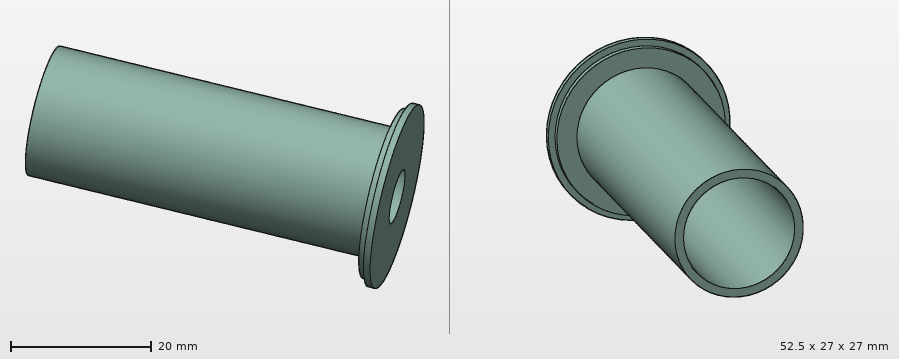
import cadquery as cq

length = 52.5
tube_diameter = 19.05
collar_diameter = 25.0
flange_diameter = 27.0
flange_thickness = 1.0
collar_thickness = 1.0

bore_diameter = 16.5
seat_diameter = 15.0
throat_diameter = 7.95
seat_length = 2.0
step_depth = (bore_diameter - seat_diameter) / 2
funnel_depth = (seat_diameter - throat_diameter) / 2

left_end = -length / 2
right_end = length / 2
flange_start = right_end - flange_thickness
collar_start = flange_start - collar_thickness
funnel_start = right_end - funnel_depth
seat_start = funnel_start - seat_length
step_start = seat_start - step_depth


def cylinder(start, end, diameter):
    """Solid cylinder along X between two stations."""
    return cq.Workplane("YZ", origin=(start, 0, 0)).circle(diameter / 2).extrude(end - start)


def bore():
    """Revolved cavity running through the part along X."""
    return (
        cq.Workplane("XY")
        .moveTo(left_end, 0)
        .lineTo(left_end, bore_diameter / 2)
        .lineTo(step_start, bore_diameter / 2)
        .lineTo(seat_start, seat_diameter / 2)
        .lineTo(funnel_start, seat_diameter / 2)
        .lineTo(right_end, throat_diameter / 2)
        .lineTo(right_end, 0)
        .close()
        .revolve(360, (0, 0, 0), (1, 0, 0))
    )


tube = cylinder(left_end, right_end, tube_diameter)
collar = cylinder(collar_start, flange_start, collar_diameter)
flange = cylinder(flange_start, right_end, flange_diameter)
result = tube.union(collar).union(flange).cut(bore())